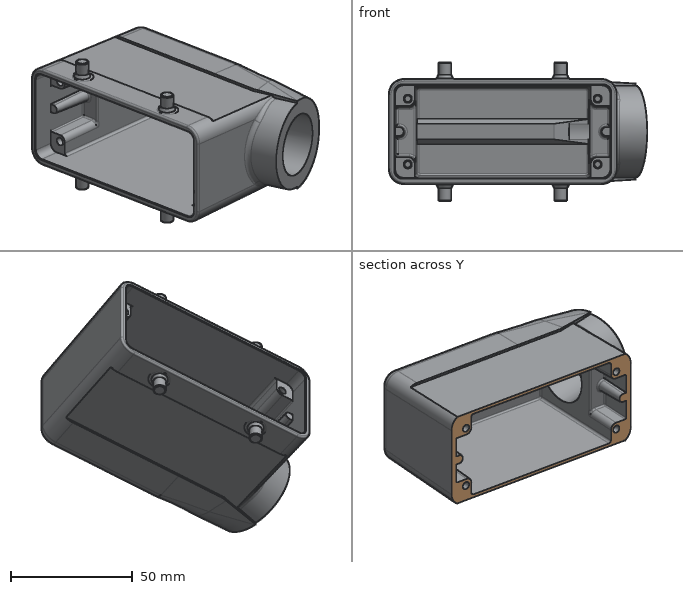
import cadquery as cq
import math


length = 93.5
width = 43.3
height = 62.8
draft = 1.0
corner_radius = 6.4
back_edge_radius = 3.5
mouth_edge_radius = 0.8
mouth_inner_chamfer = 0.3
middle_x = length / 2

overall_length = 106.0
overall_height = 70.1
spout_tilt = 15.0
spout_radius = 18.9
spout_flat_half_width = 19.7
spout_root_length = 25.5
spout_root_fillet = 2.1
bend_tangent = 9.5
shoulder_growth = 1.3
bore_radius = 13.0
bore_depth = 24.7

recess_start = 12.7
recess_end = 46.3
recess_depth = 1.0
recess_axis_gap = 0.3
overshoot = 5.3

pin_spacing = 47.5
pin_y = 6.2
pin_span = 57.0
pin_radius = 2.7
pin_foot_radius = 4.7
pin_foot_middle_radius = 3.9
pin_foot_middle_height = 0.1
pin_collar_radius = 3.4
pin_collar_height = 0.3
pin_cone_height = 1.8
pin_tip_chamfer = 0.4

wall = 2.5
cavity_draft = 1.2
cavity_corner_radius = 3.2
cavity_depth = height - wall
cavity_fillet = 0.7

boss_y = 9.0
step_y = 28.1
block_reach = 10.6
block_draft = 2.0
block_corner_fillet = 1.1
pocket_half_width = 10.5
pocket_fillet = 0.7
pocket_corner_fillet = 0.5
boss_corner_radius = 2.7
screw_hole_x = 7.8
screw_hole_z = 13.5
screw_hole_diameter = 3.4
screw_hole_depth = 10.6
screw_hole_draft = 2.0
key_x = 4.3
key_radius = 1.8

ridge_height = 4.2
ridge_top_half_width = 3.2
ridge_base_half_width = 5.3
ridge_ramp_x = 67.7

tilt = math.radians(spout_tilt)
draft_slope = math.tan(math.radians(draft))
cavity_slope = math.tan(math.radians(cavity_draft))
spout_x = overall_length - spout_radius * math.sin(tilt)
spout_y = overall_height - spout_radius * math.cos(tilt)
tip_x = spout_x - spout_radius * math.sin(tilt)
bend_radius = bend_tangent / math.tan(tilt / 2)
bend_start_x = tip_x - (overall_height - height) / math.tan(tilt) - bend_tangent
crown_length = bend_radius * tilt + (overall_height - height) / math.sin(tilt) - bend_tangent


def plane_towards_back(x, y):
    """Plane across the hood whose normal points away from the mouth."""
    return cq.Plane(origin=(x, y, 0), xDir=(1, 0, 0), normal=(0, 1, 0))


def spout_plane(x, y, angle):
    """Plane across the spout: its normal is tilted from +X towards +Y, its local y points to the crown."""
    return cq.Plane(origin=(x, y, 0), xDir=(0, 0, -1), normal=(math.cos(angle), math.sin(angle), 0))


def along_spout(distance):
    """Point on the spout axis, measured outwards from the spout's end face."""
    return spout_x + distance * math.cos(tilt), spout_y + distance * math.sin(tilt)


def drafted_block(block_length, block_width, depth, angle, edge_radius):
    """Block that narrows from the mouth plane towards the back, with rounded long edges."""
    block = cq.Workplane(plane_towards_back(middle_x, 0)).rect(block_length, block_width)
    block = block.extrude(depth, taper=angle)
    return block.edges("not #Y").fillet(edge_radius)


def make_shell():
    shell = drafted_block(length, width, height, draft, corner_radius)
    return shell.faces(">Y").edges().fillet(back_edge_radius)


def crown_section(x, y, angle, half_width, radius):
    """Closed wire of an arch: drafted sides, round shoulders and a flat top at the point (x, y)."""
    shoulder = radius * math.sqrt(0.5)
    flat = half_width - radius
    foot = -spout_radius - recess_axis_gap
    foot_half_width = half_width - (foot + radius) * draft_slope
    outline = (
        cq.Workplane(spout_plane(x, y, angle))
        .moveTo(-foot_half_width, foot)
        .lineTo(-half_width, -radius)
        .threePointArc((-flat - shoulder, shoulder - radius), (-flat, 0))
        .lineTo(flat, 0)
        .threePointArc((flat + shoulder, shoulder - radius), (half_width, -radius))
        .lineTo(foot_half_width, foot)
        .close()
    )
    return outline.wire().val()


def bend_point(angle):
    """Point on the arc that leads from the flat back of the shell into the tilted crown line."""
    x = bend_start_x + bend_radius * math.sin(angle)
    y = height + bend_radius * (1 - math.cos(angle))
    return x, y


def shoulder_radius(distance):
    """Radius of the crown's shoulders, growing slowly at first along the crown line."""
    share = (distance / crown_length) ** shoulder_growth
    return back_edge_radius + (spout_radius - back_edge_radius) * share


def bend_section(angle):
    x, y = bend_point(angle)
    radius = shoulder_radius(bend_radius * angle)
    half_width = width / 2 - (y - radius) * draft_slope
    return crown_section(x, y, angle, half_width, radius)


def make_crown():
    """Arch that bends off the back of the shell and grows into the round top half of the spout."""
    bend = cq.Solid.makeLoft([bend_section(0), bend_section(tilt / 2), bend_section(tilt)])
    end = crown_section(tip_x, overall_height, tilt, spout_flat_half_width, spout_radius)
    straight = cq.Solid.makeLoft([bend_section(tilt), end], True)
    return cq.Workplane(bend).union(cq.Workplane(straight))


def make_crown_clearance():
    """Corner of the shell that the crown replaces: above the recess, then above the spout axis."""
    knee_x, knee_y = bend_point(tilt)
    foot = spout_radius + recess_axis_gap
    return (
        cq.Workplane("XY")
        .polyline([
            (bend_start_x, overall_height),
            (bend_start_x, recess_end),
            (knee_x + foot * math.sin(tilt), knee_y - foot * math.cos(tilt)),
            (tip_x + foot * math.sin(tilt), overall_height - foot * math.cos(tilt)),
            (tip_x, overall_height),
        ])
        .close()
        .extrude(width / 2, both=True)
    )


def make_spout_tube():
    root = spout_plane(*along_spout(-spout_root_length), tilt)
    return cq.Workplane(root).circle(spout_radius).extrude(spout_root_length)


def fillet_spout_root(body):
    """Round the seam between the lower half of the spout and the end wall."""
    root_y = along_spout((length - spout_x) / math.cos(tilt))[1] - spout_radius / math.cos(tilt)
    seam = cq.selectors.NearestToPointSelector((length - root_y * draft_slope, root_y, 0))
    return body.edges(seam).fillet(spout_root_fillet)


def make_recess():
    """Slab beyond a plane parallel to the drafted wide face, below the back edge and the spout axis."""
    floor_at_mouth = width / 2 - recess_depth
    near_x = -overshoot
    gap = recess_axis_gap / math.cos(tilt)
    knee_x = spout_x - (spout_y - gap - recess_end) / math.tan(tilt)
    far_x = overall_length + overshoot
    far_y = spout_y - gap + (far_x - spout_x) * math.tan(tilt)
    outline = (
        cq.Workplane("XY")
        .polyline([
            (near_x, recess_start),
            (far_x, recess_start),
            (far_x, far_y),
            (knee_x, recess_end),
            (near_x, recess_end),
        ])
        .close()
        .extrude(width)
    )
    above_floor = (
        cq.Workplane("YZ", origin=(near_x, 0, 0))
        .polyline([
            (0, floor_at_mouth),
            (overall_height, floor_at_mouth - overall_height * draft_slope),
            (overall_height, width),
            (0, width),
        ])
        .close()
        .extrude(far_x - near_x)
    )
    return outline.intersect(above_floor)


def make_pin(x):
    """Pin with a chamfered tip and a concave foot that rises into a cone, starting inside the wall."""
    tip = pin_span / 2
    surface = width / 2 - pin_y * draft_slope
    foot_middle = (pin_foot_middle_radius, surface + pin_foot_middle_height)
    return (
        cq.Workplane("XZ", origin=(x, pin_y, 0))
        .moveTo(0, surface - wall / 2)
        .lineTo(pin_foot_radius, surface - wall / 2)
        .lineTo(pin_foot_radius, surface)
        .threePointArc(foot_middle, (pin_collar_radius, surface + pin_collar_height))
        .lineTo(pin_radius, surface + pin_cone_height)
        .lineTo(pin_radius, tip - pin_tip_chamfer)
        .lineTo(pin_radius - pin_tip_chamfer, tip)
        .lineTo(0, tip)
        .close()
        .revolve(360, (0, 0, 0), (0, 1, 0))
    )


def make_end_block():
    """Solid left standing at the -X end: a full-width step, two screw bosses and a drafted key."""
    boss_length = step_y - boss_y
    block_slope = math.tan(math.radians(block_draft))
    reach_at_back = block_reach + (height - boss_y) * cavity_slope
    pocket_floor_half_width = pocket_half_width - boss_length * block_slope
    block = (
        cq.Workplane("XY")
        .polyline([
            (0, boss_y),
            (block_reach, boss_y),
            (reach_at_back, height),
            (0, height),
        ])
        .close()
        .extrude(width / 2, both=True)
    )
    pocket = (
        cq.Workplane("YZ")
        .polyline([
            (boss_y, -pocket_half_width),
            (step_y, -pocket_floor_half_width),
            (step_y, pocket_floor_half_width),
            (boss_y, pocket_half_width),
        ])
        .close()
        .extrude(middle_x)
    )
    block = block.cut(pocket)
    for side in (-1, 1):
        corner = cq.selectors.NearestToPointSelector(
            (block_reach, (boss_y + step_y) / 2, side * pocket_half_width)
        )
        block = block.edges(corner).fillet(boss_corner_radius)
    key_root_radius = key_radius + boss_length * block_slope
    key_root = cq.Workplane(plane_towards_back(0, step_y))
    key_root = key_root.slot2D(2 * (key_x + key_root_radius), 2 * key_root_radius)
    return block.union(key_root.extrude(-boss_length, taper=block_draft))


def make_ridge():
    """Trapezoid ridge along the back wall, ramped down towards the spout."""
    ridge = (
        cq.Workplane("YZ")
        .polyline([
            (cavity_depth, -ridge_base_half_width),
            (cavity_depth - ridge_height, -ridge_top_half_width),
            (cavity_depth - ridge_height, ridge_top_half_width),
            (cavity_depth, ridge_base_half_width),
        ])
        .close()
        .extrude(length)
    )
    ramp_run = length - ridge_ramp_x
    ramp = (
        cq.Workplane("XY")
        .moveTo(ridge_ramp_x, cavity_depth - ridge_height)
        .lineTo(length, cavity_depth - ridge_height + ramp_run * math.tan(tilt))
        .lineTo(length, cavity_depth - ridge_height)
        .close()
        .extrude(ridge_base_half_width, both=True)
    )
    return ridge.cut(ramp)


def edges_at_depth(body, y):
    """Edges that lie wholly in the plane across the hood at depth y."""
    margin = 0.05
    zone = cq.selectors.BoxSelector((0, y - margin, -width), (length, y + margin, width), boundingbox=True)
    return body.edges(zone)


def fillet_four_corners(body, end_distance, y, half_width, radius):
    """Round the four matching edges closest to a depth y, a distance from each end and a half width."""
    for side_x in (-1, 1):
        for side_z in (-1, 1):
            corner = cq.selectors.NearestToPointSelector(
                (middle_x + side_x * (middle_x - end_distance), y, side_z * half_width)
            )
            body = body.edges(corner).fillet(radius)
    return body


def make_cavity():
    cavity = drafted_block(
        length - 2 * wall, width - 2 * wall, cavity_depth, cavity_draft, cavity_corner_radius
    )
    block = make_end_block()
    mirrored = block.mirror("YZ", (middle_x, 0, 0))
    cavity = cavity.cut(block).cut(mirrored)
    block_depth = (boss_y + cavity_depth) / 2
    cavity = fillet_four_corners(cavity, block_reach, block_depth, width / 2 - wall, block_corner_fillet)
    cavity = edges_at_depth(cavity, step_y).fillet(pocket_fillet)
    pocket_depth = (boss_y + step_y) / 2
    cavity = fillet_four_corners(cavity, wall, pocket_depth, pocket_half_width, pocket_corner_fillet)
    cavity = cavity.faces(">Y").edges().fillet(cavity_fillet)
    return cavity.cut(make_ridge())


def make_screw_holes():
    points = [
        (side_x * (middle_x - screw_hole_x), side_z * screw_hole_z)
        for side_x in (-1, 1)
        for side_z in (-1, 1)
    ]
    holes = cq.Workplane(plane_towards_back(middle_x, boss_y)).pushPoints(points)
    return holes.circle(screw_hole_diameter / 2).extrude(screw_hole_depth, taper=screw_hole_draft)


def make_bore():
    start = spout_plane(*along_spout(-bore_depth), tilt)
    return cq.Workplane(start).circle(bore_radius).extrude(bore_depth)


hood = make_shell().faces("<Y").edges().fillet(mouth_edge_radius)
hood = hood.union(make_spout_tube())
hood = hood.cut(make_crown_clearance()).union(make_crown())
hood = fillet_spout_root(hood)

recess = make_recess()
hood = hood.cut(recess).cut(recess.mirror("XY"))

for pin_x in (middle_x - pin_spacing / 2, middle_x + pin_spacing / 2):
    pin = make_pin(pin_x)
    hood = hood.union(pin).union(pin.mirror("XY"))

hood = hood.cut(make_cavity())
hood = hood.faces("<Y").wires(cq.selectors.AreaNthSelector(0)).edges().chamfer(mouth_inner_chamfer)
hood = hood.cut(make_screw_holes()).cut(make_bore())

result = hood